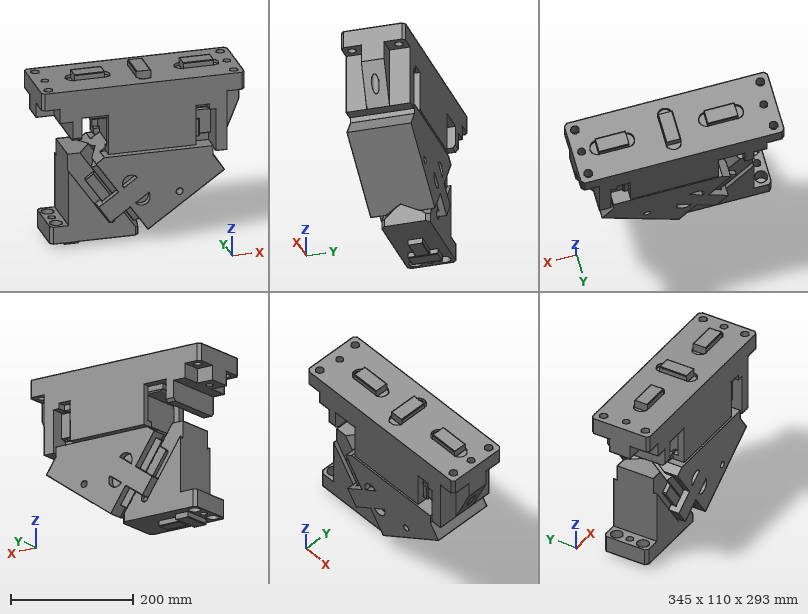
import cadquery as cq
import math

SHUT_HEIGHT = 274.0
FULL_WIDTH = 110.0
HALF = FULL_WIDTH / 2
CORNER = 5.0
REACH = 400.0

KEY_WIDTH = 25.0
KEY_LENGTH = 51.0
KEY_HEIGHT = 9.5
KEY_CHAMFER = 1.2
KEY_SLOT_LENGTH = 75.0
KEY_SLOT_DEPTH = 5.0

SLOPE = math.radians(55)
INCLINE_ORIGIN = (140.0, 0, 71.2)
ALONG = (math.cos(SLOPE), 0, -math.sin(SLOPE))
VEE_ANGLE = math.radians(30)
VEE_RISE = math.tan(VEE_ANGLE)


def box(x0, x1, y0, y1, z0, z1):
    return cq.Workplane("XY").box(x1 - x0, y1 - y0, z1 - z0, centered=False).translate((x0, y0, z0))


def wide_box(x0, x1, half_width, z0, z1):
    return box(x0, x1, -half_width, half_width, z0, z1)


def profile(points, half_width):
    """Plate with an outline in X and Z, centred on Y = 0."""
    return cq.Workplane("XZ").polyline(points).close().extrude(half_width, both=True)


def slope_plane(y):
    """Sketch plane at a given Y: local x runs along the slope, local y off it, normal to -Y."""
    origin = (INCLINE_ORIGIN[0], y, INCLINE_ORIGIN[2])
    return cq.Workplane(cq.Plane(origin, xDir=ALONG, normal=(0, -1, 0)))


def slope_block(along, off, y_range):
    """Block aligned with the slope, given its (low, high) extents."""
    centre = ((along[0] + along[1]) / 2, (off[0] + off[1]) / 2)
    return (
        slope_plane(y_range[1])
        .center(*centre)
        .rect(along[1] - along[0], off[1] - off[0])
        .extrude(y_range[1] - y_range[0])
    )


def slope_section(points, along):
    """Section in Y and off-slope height, swept down the slope between two places."""
    origin = tuple(o + along[0] * d for o, d in zip(INCLINE_ORIGIN, ALONG))
    plane = cq.Plane(origin, xDir=(0, 1, 0), normal=ALONG)
    return cq.Workplane(plane).polyline(points).close().extrude(along[1] - along[0])


def both_sides(feature):
    return feature.union(feature.mirror("XZ"))


def key(length, along_x=True):
    """Locating key on the XY plane, chamfered along its two long top edges."""
    block = (
        cq.Workplane("XY")
        .rect(length, KEY_WIDTH)
        .extrude(KEY_SLOT_DEPTH + KEY_HEIGHT)
        .faces(">Z")
        .edges("|X")
        .chamfer(KEY_CHAMFER)
    )
    return block if along_x else block.rotate((0, 0, 0), (0, 0, 1), 90)


PLATE_LENGTH = 345.0
PLATE_THICKNESS = 30.0
PLATE_BOTTOM = SHUT_HEIGHT - PLATE_THICKNESS

LEFT_SHOULDER = 30.0
LEFT_FOOT_Z = 219.0
LEFT_LEG = (52.5, 68.0)
LEFT_LEG_Z = 184.5
ROOF_Z = 224.0
CHEEKS = (113.0, 262.0)
CHEEK_Z = 154.5
RIGHT_STEP_X = 285.0
RIGHT_STEP_Z = 214.5
RIGHT_LEG = (295.5, 315.0)
RIGHT_LEG_Z = 140.0
RIB_HALF = 19.5
RIB_END_Z = 213.0

CAVITY_HALF = 43.0
LIP_Z = 164.5
LIP_HALF = 33.7

ROOF_PAD = (85.3, 285.0)
ROOF_PAD_BEVEL = 2.5
ROOF_PAD_LEAD = 8.0
HEAD_TOP = 212.0
HEAD_HALF = 40.0

TOP_KEYS = ((93.0, True), (181.0, False), (278.0, True))
BOLT_DIAMETER = 14.0
BOLT_ROWS = (15.0, 330.0)
BOLT_SIDE = 40.0
BOLT_PLACES = [(x, y) for x in BOLT_ROWS for y in (-BOLT_SIDE, BOLT_SIDE)]
DOWEL_DIAMETER = 12.5
DOWEL_PLACES = [(20.3, 0), (BOLT_ROWS[1], 0)]


def make_holder():
    body = wide_box(0, PLATE_LENGTH, HALF, PLATE_BOTTOM, SHUT_HEIGHT).edges("|Z").chamfer(CORNER)

    body = body.union(profile([
        (LEFT_SHOULDER, PLATE_BOTTOM),
        (LEFT_SHOULDER, LEFT_FOOT_Z),
        (LEFT_LEG[0], LEFT_FOOT_Z),
        (LEFT_LEG[0], ROOF_Z),
        (CHEEKS[0], ROOF_Z),
        (CHEEKS[0], CHEEK_Z),
        (CHEEKS[1], CHEEK_Z),
        (CHEEKS[1], ROOF_Z),
        (RIGHT_STEP_X, ROOF_Z),
        (RIGHT_STEP_X, RIGHT_STEP_Z),
        (RIGHT_LEG[0], RIGHT_STEP_Z),
        (RIGHT_LEG[0], RIGHT_LEG_Z),
        (RIGHT_LEG[1], RIGHT_LEG_Z),
        (RIGHT_LEG[1], PLATE_BOTTOM),
    ], HALF))
    left_leg = wide_box(*LEFT_LEG, HALF, LEFT_LEG_Z, PLATE_BOTTOM)
    body = body.union(left_leg.faces("<Z").edges("|X").chamfer(CORNER))

    body = body.union(wide_box(0, LEFT_SHOULDER, RIB_HALF, LEFT_FOOT_Z, PLATE_BOTTOM))
    body = body.union(profile([
        (RIGHT_LEG[1], PLATE_BOTTOM),
        (PLATE_LENGTH, PLATE_BOTTOM),
        (PLATE_LENGTH, RIB_END_Z),
        (RIGHT_LEG[1], RIGHT_LEG_Z),
    ], RIB_HALF))

    body = body.cut(wide_box(*CHEEKS, CAVITY_HALF, LIP_Z, ROOF_Z))
    body = body.cut(wide_box(*CHEEKS, LIP_HALF, CHEEK_Z, LIP_Z))

    pad = wide_box(*ROOF_PAD, HEAD_HALF, HEAD_TOP, ROOF_Z)
    pad = pad.faces("<Z").edges("|X").chamfer(ROOF_PAD_BEVEL)
    pad = pad.intersect(profile([
        (ROOF_PAD[0], ROOF_Z),
        (ROOF_PAD[0], HEAD_TOP + ROOF_PAD_BEVEL),
        (ROOF_PAD[0] + ROOF_PAD_LEAD, HEAD_TOP),
        (ROOF_PAD[1] - ROOF_PAD_LEAD, HEAD_TOP),
        (ROOF_PAD[1], HEAD_TOP + ROOF_PAD_BEVEL),
        (ROOF_PAD[1], ROOF_Z),
    ], HALF))
    body = body.union(pad)

    slot_floor = SHUT_HEIGHT - KEY_SLOT_DEPTH
    for x, along_x in TOP_KEYS:
        slot = (
            cq.Workplane("XY")
            .slot2D(KEY_SLOT_LENGTH, KEY_WIDTH, 0 if along_x else 90)
            .extrude(KEY_SLOT_DEPTH)
        )
        body = body.cut(slot.translate((x, 0, slot_floor)))
        body = body.union(key(KEY_LENGTH, along_x).translate((x, 0, slot_floor)))

    for places, diameter in ((BOLT_PLACES, BOLT_DIAMETER), (DOWEL_PLACES, DOWEL_DIAMETER)):
        holes = cq.Workplane("XY").pushPoints(places).circle(diameter / 2).extrude(REACH)
        body = body.cut(holes)
    return body


BASE_HALF = 41.5
RAIL_TOP = -13.7
RAIL_BOTTOM = -30.5
CHANNEL_FLOOR = -43.2
CHANNEL_HALF = 34.6

SOLE_START = -83.7
SOLE_END = 70.0
SLIDER_DEPTH = 159.0
SHOULDER_Z = 149.5
SLIDER_FRONT_X = 121.5
SLIDER_BACK_X = 291.0
NECK_HALF = 28.0
COLLAR_HALF = 32.6
COLLAR_Z = 165.0
HEAD_Z = 167.3
HEAD_BEVEL = 2.5

SIDE_PAD = (SLIDER_FRONT_X, 271.5)
SIDE_PAD_TOP = 194.5
SIDE_PAD_BEVEL = 2.0

GROOVE_HALF = 28.6
VEE_PAD_CHAMFER = 1.5
VEE_PAD_HALF = 42.5
VEE_PAD = (-74.5, 50.5)

HOOK_WIDTH = 35.2
HOOK_INNER = 44.4
HOOK_FLOOR_GAP = 2.0
HOOK_RAIL_GAP = 0.5
HOOK_SIDE_GAP = 0.4
HOOK_BOTTOM = CHANNEL_FLOOR + HOOK_FLOOR_GAP
HOOK_FOOT_TOP = RAIL_BOTTOM - HOOK_RAIL_GAP
HOOK_FOOT_INNER = CHANNEL_HALF + HOOK_SIDE_GAP
HOOK_POCKET_LENGTH = 61.5
HOOK_POCKET_WIDTH = 27.5
HOOK_POCKET_OFF = 25.0
SIDE_HOLE = (234.0, 75.2)
SIDE_HOLE_RADIUS = 5.8
SIDE_HOLE_DEPTH = 20.0
DRILL_TIP = 3.4


def vee_height(y):
    """Off-slope height of the base's vee surface at a given Y."""
    return RAIL_TOP + (BASE_HALF - abs(y)) * VEE_RISE


def slope_point(along, off):
    """X and Z of a place given along and off the slope."""
    x = INCLINE_ORIGIN[0] + along * math.cos(SLOPE) + off * math.sin(SLOPE)
    z = INCLINE_ORIGIN[2] - along * math.sin(SLOPE) + off * math.cos(SLOPE)
    return x, z


def front_ramp_height(x):
    """Height of the slider's front face, which is square to the slope."""
    start_x, start_z = slope_point(SOLE_START, 0)
    return start_z + (x - start_x) / math.tan(SLOPE)


def vee_pads():
    """Two wear pads lying between the groove of the slider and the vee of the base."""
    thickness = -vee_height(VEE_PAD_HALF) * math.cos(VEE_ANGLE)
    foot_y = VEE_PAD_HALF - thickness * math.sin(VEE_ANGLE)
    chamfer_end_y = foot_y + VEE_PAD_CHAMFER * math.sin(VEE_ANGLE)
    chamfer_end_off = vee_height(foot_y) + VEE_PAD_CHAMFER * math.cos(VEE_ANGLE)
    chamfer_foot_y = foot_y - VEE_PAD_CHAMFER * math.cos(VEE_ANGLE)
    pad = slope_section([
        (VEE_PAD_HALF, 0),
        (chamfer_end_y, chamfer_end_off),
        (chamfer_foot_y, vee_height(chamfer_foot_y)),
        (0, vee_height(0)),
        (0, VEE_PAD_HALF * VEE_RISE),
    ], VEE_PAD)
    return both_sides(pad)


def hook():
    """Strap set in a round-ended side pocket, with a foot that grips under the rail of the base."""
    span = (-HOOK_WIDTH / 2, HOOK_WIDTH / 2)
    strap = slope_block(span, (HOOK_BOTTOM, HOOK_POCKET_OFF + HOOK_POCKET_WIDTH / 2), (-HALF, -HOOK_INNER))
    foot = slope_block(span, (HOOK_BOTTOM, HOOK_FOOT_TOP), (-HOOK_INNER, -HOOK_FOOT_INNER))
    return strap.union(foot)


def make_slider():
    sole_start = slope_point(SOLE_START, 0)
    nose = slope_point(SOLE_END, SLIDER_DEPTH)
    shoulder_x = sole_start[0] + (SHOULDER_Z - sole_start[1]) * math.tan(SLOPE)
    body = profile([
        sole_start,
        slope_point(SOLE_END, 0),
        nose,
        (SLIDER_BACK_X, nose[1] + (nose[0] - SLIDER_BACK_X) * math.tan(SLOPE)),
        (SLIDER_BACK_X, SHOULDER_Z),
        (shoulder_x, SHOULDER_Z),
    ], HALF)

    body = body.union(profile([
        (shoulder_x, SHOULDER_Z),
        (SLIDER_FRONT_X, front_ramp_height(SLIDER_FRONT_X)),
        (SLIDER_FRONT_X, COLLAR_Z),
        (SLIDER_BACK_X, COLLAR_Z),
        (SLIDER_BACK_X, SHOULDER_Z),
    ], NECK_HALF))
    body = body.union(wide_box(SLIDER_FRONT_X, SLIDER_BACK_X, COLLAR_HALF, COLLAR_Z, HEAD_Z))
    head = wide_box(SLIDER_FRONT_X, SLIDER_BACK_X, HEAD_HALF, HEAD_Z, HEAD_TOP)
    body = body.union(head.faces(">Z").edges("|X or >X").chamfer(HEAD_BEVEL))
    side_pad = box(*SIDE_PAD, -CAVITY_HALF, -HEAD_HALF, LIP_Z, SIDE_PAD_TOP)
    body = body.union(both_sides(side_pad.faces("<Y").edges("|Z").chamfer(SIDE_PAD_BEVEL)))

    groove = slope_section([
        (-GROOVE_HALF, 0),
        (GROOVE_HALF, 0),
        (0, GROOVE_HALF * VEE_RISE),
    ], (-REACH, REACH))
    body = body.cut(groove).union(vee_pads())

    pocket = (
        slope_plane(-HOOK_INNER)
        .center(0, HOOK_POCKET_OFF)
        .slot2D(HOOK_POCKET_LENGTH, HOOK_POCKET_WIDTH)
        .extrude(HALF - HOOK_INNER)
    )
    body = body.cut(both_sides(pocket)).union(both_sides(hook()))
    hole_floor = HALF - SIDE_HOLE_DEPTH
    side_hole = cq.Workplane(cq.Solid.revolve(cq.Wire.makePolygon([
        cq.Vector(0, -HALF),
        cq.Vector(SIDE_HOLE_RADIUS, -HALF),
        cq.Vector(SIDE_HOLE_RADIUS, -hole_floor),
        cq.Vector(0, -hole_floor + DRILL_TIP),
    ], close=True), [], 360, cq.Vector(0, 0), cq.Vector(0, 1)))
    return body.cut(both_sides(side_hole.translate((SIDE_HOLE[0], 0, SIDE_HOLE[1]))))


BASE = (18.0, 168.5)
TOWER_X = 49.0
FLANGE_THICKNESS = 30.0
TOWER_TOP = 154.0
BACK_CORNER = 6.0
RAIL_START = -65.6
RAIL_CORNER = 2.0
CHANNEL_END = 27.0

FLANGE_HOLE_X = 32.0
FLANGE_BOLT_DIAMETER = 21.0
FLANGE_BOLT_PITCH = 50.0
CROSS_KEY_X = 58.0
LONG_KEY_X = 93.0
LONG_KEY_LENGTH = 40.0


def channel():
    """Channel for the hook foot with a full-round end, opening out above the start of the rail."""
    radius = (RAIL_BOTTOM - CHANNEL_FLOOR) / 2
    depth = BASE_HALF - CHANNEL_HALF
    y_range = (-BASE_HALF, -CHANNEL_HALF)
    slot = slope_block((-REACH, CHANNEL_END - radius), (CHANNEL_FLOOR, RAIL_BOTTOM), y_range)
    slot_end = (
        slope_plane(-CHANNEL_HALF)
        .center(CHANNEL_END - radius, CHANNEL_FLOOR + radius)
        .circle(radius)
        .extrude(depth)
    )
    entry = slope_block((-REACH, RAIL_START), (CHANNEL_FLOOR, REACH), y_range)
    corner = slope_plane(-CHANNEL_HALF).polyline([
        (RAIL_START, RAIL_BOTTOM),
        (RAIL_START + RAIL_CORNER, RAIL_BOTTOM),
        (RAIL_START, RAIL_BOTTOM + RAIL_CORNER),
    ]).close().extrude(depth)
    return slot.union(slot_end).union(entry).union(corner)


def make_base():
    body = wide_box(*BASE, BASE_HALF, 0, TOWER_TOP)
    body = body.edges("|Z and <X").chamfer(CORNER)
    body = body.edges("|Z and >X").chamfer(BACK_CORNER)
    body = body.cut(wide_box(BASE[0], TOWER_X, HALF, FLANGE_THICKNESS, TOWER_TOP))

    body = body.cut(slope_section([
        (-HALF, vee_height(HALF)),
        (0, vee_height(0)),
        (HALF, vee_height(HALF)),
        (HALF, REACH),
        (-HALF, REACH),
    ], (-REACH, REACH)))
    body = body.cut(both_sides(channel()))

    for y in (-FLANGE_BOLT_PITCH / 2, 0, FLANGE_BOLT_PITCH / 2):
        diameter = FLANGE_BOLT_DIAMETER if y else DOWEL_DIAMETER
        hole = cq.Workplane("XY").center(FLANGE_HOLE_X, y).circle(diameter / 2)
        body = body.cut(hole.extrude(FLANGE_THICKNESS))

    for x, length, along_x in ((CROSS_KEY_X, KEY_LENGTH, False), (LONG_KEY_X, LONG_KEY_LENGTH, True)):
        under_key = key(length, along_x).rotate((0, 0, 0), (1, 0, 0), 180)
        body = body.union(under_key.translate((x, 0, KEY_SLOT_DEPTH)))
    return body


holder = make_holder()
slider = make_slider()
base = make_base()

result = cq.Compound.makeCompound([holder.val(), slider.val(), base.val()])